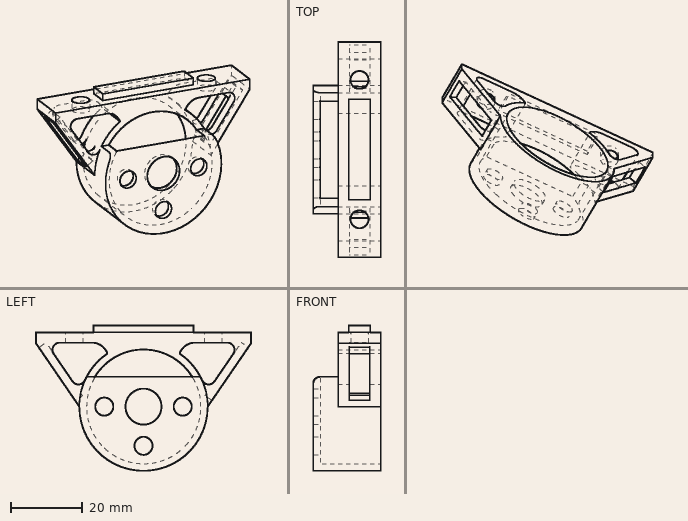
import cadquery as cq
import math

cup_length = 19.0
cup_radius = 18.01
bore_radius = 32 / 2
wall = 2.0
cup_rim_z = 8.4

bracket_depth = 12.0
bracket_front = cup_length - bracket_depth
bracket_mid = cup_length - bracket_depth / 2
half_span = 30.15
pad_height = 2.0
plate_top = 40.8 - cup_radius - pad_height
plate_end_z = plate_top - 3.0
pad_width = 6.05
pad_length = 28.1
screw_diameter = 5.0
screw_y = 19.5

center_hole_diameter = 10.0
wall_hole_diameter = 5.0
wall_hole_offset = 11.0

brace_thickness = 2.5
window_top = plate_top - 2.9
window_arc_y = 14.4
window_tip_y = 10.15
slot_width = 5.6
slot_length = 18.05
slot_start = 2.1
clearing_depth = 3 * brace_thickness
clearing_length = slot_length / 2

slope_angle = math.atan2(plate_end_z, half_span - cup_radius)
slope_y = math.cos(slope_angle)
slope_z = math.sin(slope_angle)
normal_y = slope_z
normal_z = -slope_y


def slope_point(distance, along):
    """YZ point at a distance from the cup axis and a position along the slope."""
    return (
        distance * normal_y + along * slope_y,
        distance * normal_z + along * slope_z,
    )


def x_cylinder(radius, length, y=0, z=0):
    return cq.Workplane("YZ").center(y, z).circle(radius).extrude(length)


def make_window():
    """Window at +Y, bounded by the plate, the brace and the round cup."""
    inner_face = cup_radius * normal_y - brace_thickness
    center_line = inner_face - wall

    low_center_radius = cup_radius + wall
    low_along = math.sqrt(low_center_radius**2 - center_line**2)
    low_y, low_z = slope_point(center_line, low_along)
    on_cup = (low_y * cup_radius / low_center_radius, low_z * cup_radius / low_center_radius)

    high_along = (window_top - wall - center_line * normal_z) / slope_z
    high_y = slope_point(center_line, high_along)[0]

    tip = (window_tip_y, math.sqrt(cup_radius**2 - window_tip_y**2))
    cup_angle = (math.atan2(on_cup[1], on_cup[0]) + math.atan2(tip[1], tip[0])) / 2
    cup_middle = (cup_radius * math.cos(cup_angle), cup_radius * math.sin(cup_angle))

    return (
        cq.Workplane("YZ")
        .moveTo(*on_cup)
        .radiusArc(slope_point(inner_face, low_along), -wall)
        .lineTo(*slope_point(inner_face, high_along))
        .radiusArc((high_y, window_top), -wall)
        .lineTo(window_arc_y, window_top)
        .tangentArcPoint(tip, relative=False)
        .threePointArc(cup_middle, on_cup)
        .close()
        .extrude(cup_length)
    )


def slot_box(depth, length):
    """Box at +Y, cut square into the sloping face to a depth and up to a length along it."""
    face_distance = cup_radius * normal_y
    along_start = cup_radius * slope_y + slot_start
    along_end = along_start + length
    return (
        cq.Workplane("YZ", origin=(bracket_mid - slot_width / 2, 0, 0))
        .polyline([
            slope_point(face_distance - depth, along_start),
            slope_point(face_distance + wall, along_start),
            slope_point(face_distance + wall, along_end),
            slope_point(face_distance - depth, along_end),
        ])
        .close()
        .extrude(slot_width)
    )


def make_slot():
    """Slot through the brace, with its lower part cleared on down to the round cup."""
    clearing = slot_box(clearing_depth, clearing_length).cut(x_cylinder(cup_radius, cup_length))
    return slot_box(brace_thickness, slot_length).union(clearing)


def make_rim_cut():
    """Space above the cup rim, leaving a rounded top edge on the end wall."""
    return (
        cq.Workplane("XZ")
        .moveTo(0, cup_rim_z - wall)
        .radiusArc((wall, cup_rim_z), wall)
        .lineTo(bracket_front, cup_rim_z)
        .lineTo(bracket_front, plate_top)
        .lineTo(-wall, plate_top)
        .lineTo(-wall, cup_rim_z - wall)
        .close()
        .extrude(half_span, both=True)
    )


bracket = (
    cq.Workplane("YZ", origin=(bracket_front, 0, 0))
    .polyline([
        (-half_span, plate_top),
        (half_span, plate_top),
        (half_span, plate_end_z),
        (cup_radius, 0),
        (-cup_radius, 0),
        (-half_span, plate_end_z),
    ])
    .close()
    .extrude(bracket_depth)
)
pad = (
    cq.Workplane("XY", origin=(bracket_mid, 0, plate_top))
    .rect(pad_width, pad_length)
    .extrude(pad_height)
)
result = x_cylinder(cup_radius, cup_length).union(bracket).union(pad)

result = result.cut(x_cylinder(bore_radius, cup_length).translate((wall, 0, 0)))
result = result.cut(make_rim_cut())

result = result.cut(x_cylinder(center_hole_diameter / 2, wall))
for y, z in [(-wall_hole_offset, 0), (wall_hole_offset, 0), (0, -wall_hole_offset)]:
    result = result.cut(x_cylinder(wall_hole_diameter / 2, wall, y, z))

for cutter in (make_window(), make_slot()):
    result = result.cut(cutter).cut(cutter.mirror("XZ"))

screw_holes = (
    cq.Workplane("XY", origin=(bracket_mid, 0, plate_top))
    .pushPoints([(0, -screw_y), (0, screw_y)])
    .circle(screw_diameter / 2)
    .extrude(window_top - wall - plate_top)
)
result = result.cut(screw_holes)